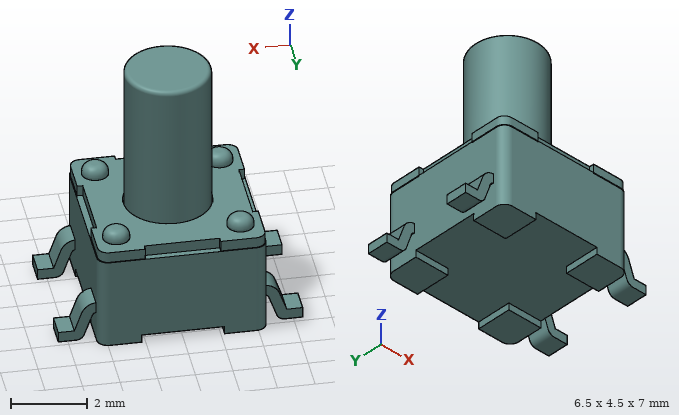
import cadquery as cq
import math

body_side = 4.5
body_top = 2.605
body_corner_radius = 0.3
foot_gap = 2.2
foot_height = 0.225

cover_inset = 0.0245
cover_thickness = 0.3
cover_side = body_side - 2 * cover_inset
cover_corner_radius = body_corner_radius - cover_inset
cover_top = body_top + cover_thickness
notch_width = 2.0
notch_floor_span = 4.15
notch_depth = (cover_side - notch_floor_span) / 2

plunger_diameter = 2.3
plunger_top = 7.0
plunger_edge_radius = 0.12
plunger_hole_diameter = 2.36

rivet_diameter = 0.715
rivet_height = 0.3
rivet_edge_radius = 0.245
rivet_x = 1.65
rivet_y = 1.53

leg_span = 6.5
leg_thickness = 0.3
leg_width = 0.7
leg_y = 1.5
leg_pad_length = 0.43
leg_top = 1.12
leg_slope = math.radians(70)
leg_shoulder_radius = 0.44
leg_heel_radius = 0.24
leg_embed = 0.14


def make_body():
    block = cq.Workplane("XY").box(body_side, body_side, body_top, centered=(True, True, False))
    block = block.edges("|Z").fillet(body_corner_radius)
    channel_x = cq.Workplane("XY").box(body_side, foot_gap, foot_height, centered=(True, True, False))
    channel_y = cq.Workplane("XY").box(foot_gap, body_side, foot_height, centered=(True, True, False))
    return block.cut(channel_x).cut(channel_y)


def make_cover():
    base = cq.Workplane("XY").workplane(offset=body_top)
    plate = base.rect(cover_side, cover_side).extrude(cover_thickness)
    plate = plate.edges("|Z").fillet(cover_corner_radius)
    half_side = cover_side / 2
    notches_x = base.pushPoints([(-half_side, 0), (half_side, 0)]).rect(2 * notch_depth, notch_width)
    plate = plate.cut(notches_x.extrude(cover_thickness))
    notches_y = base.pushPoints([(0, -half_side), (0, half_side)]).rect(notch_width, 2 * notch_depth)
    plate = plate.cut(notches_y.extrude(cover_thickness))
    return plate.cut(base.circle(plunger_hole_diameter / 2).extrude(cover_thickness))


def make_plunger():
    plunger = cq.Workplane("XY").workplane(offset=body_top).circle(plunger_diameter / 2)
    plunger = plunger.extrude(plunger_top - body_top)
    return plunger.faces(">Z").edges().fillet(plunger_edge_radius)


def make_rivet(x, y):
    rivet = cq.Workplane("XY").workplane(offset=cover_top).center(x, y).circle(rivet_diameter / 2)
    rivet = rivet.extrude(rivet_height)
    return rivet.faces(">Z").edges().fillet(rivet_edge_radius)


def on_circle(center, radius, angle):
    return (center[0] + radius * math.cos(angle), center[1] + radius * math.sin(angle))


def make_leg(y):
    """Leg on the +X side, bent from a flat pad up a slope and over into the housing."""
    tip_x = leg_span / 2
    root_x = body_side / 2 - leg_embed
    heel = (tip_x - leg_pad_length, leg_thickness)
    normal = math.pi / 2 - leg_slope
    shoulder_z = leg_top - leg_shoulder_radius
    slope_end_z = shoulder_z + leg_shoulder_radius * math.sin(normal)
    slope_end_x = heel[0] - (slope_end_z - heel[1]) / math.tan(leg_slope)
    shoulder = (slope_end_x - leg_shoulder_radius * math.cos(normal), shoulder_z)
    inner_radius = leg_shoulder_radius - leg_thickness
    up = math.pi / 2
    shoulder_middle = (normal + up) / 2
    slope_back = normal + math.pi
    heel_bottom = 3 * math.pi / 2
    heel_middle = (slope_back + heel_bottom) / 2
    heel_offset = (leg_thickness - leg_heel_radius) / math.cos(leg_slope / 2)
    heel_center = on_circle(heel, heel_offset, heel_middle)

    profile = (
        cq.Workplane("XZ", origin=(0, y + leg_width / 2, 0))
        .moveTo(tip_x, 0)
        .lineTo(tip_x, leg_thickness)
        .lineTo(*heel)
        .lineTo(slope_end_x, slope_end_z)
        .threePointArc(
            on_circle(shoulder, leg_shoulder_radius, shoulder_middle),
            on_circle(shoulder, leg_shoulder_radius, up),
        )
        .lineTo(root_x, leg_top)
        .lineTo(root_x, leg_top - leg_thickness)
        .lineTo(*on_circle(shoulder, inner_radius, up))
        .threePointArc(
            on_circle(shoulder, inner_radius, shoulder_middle),
            on_circle(shoulder, inner_radius, normal),
        )
        .lineTo(*on_circle(heel_center, leg_heel_radius, slope_back))
        .threePointArc(
            on_circle(heel_center, leg_heel_radius, heel_middle),
            on_circle(heel_center, leg_heel_radius, heel_bottom),
        )
        .close()
    )
    return profile.extrude(leg_width)


result = make_body().union(make_cover()).union(make_plunger())

for x in (-rivet_x, rivet_x):
    for y in (-rivet_y, rivet_y):
        result = result.union(make_rivet(x, y))

for y in (-leg_y, leg_y):
    leg = make_leg(y)
    result = result.union(leg).union(leg.mirror("YZ"))